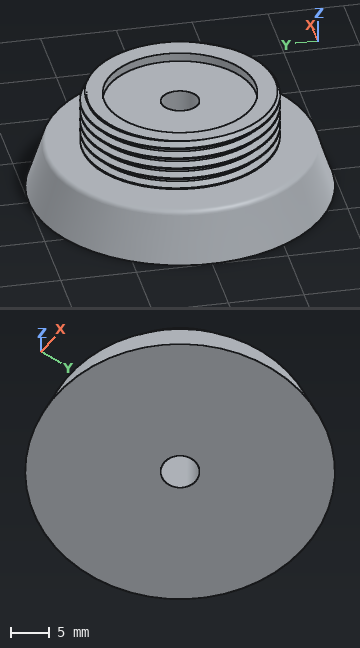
import cadquery as cq
import math

base_diameter = 40.0
base_height = 7.0
base_taper_angle = 18.0
base_edge_radius = 1.0

neck_height = 7.0
root_diameter = 24.13
crest_diameter = 25.85
thread_pitch = 1.5
flank_angle = 30.0
crest_flat = thread_pitch / 8
crest_above_base = 0.75 * thread_pitch
root_overlap = 0.2
turns_in_base = 2
turns_past_top = 1

pocket_diameter = 20.0
pocket_depth = 1.2
bore_diameter = 5.0

total_height = base_height + neck_height
base_radius = base_diameter / 2
root_radius = root_diameter / 2
crest_radius = crest_diameter / 2


def make_base():
    """Truncated cone, wide side down, with a rounded upper edge."""
    top_radius = base_radius - base_height * math.tan(math.radians(base_taper_angle))
    cone = cq.Workplane("XY").add(cq.Solid.makeCone(base_radius, top_radius, base_height))
    return cone.faces(">Z").edges().fillet(base_edge_radius)


def make_ridge():
    """Right-handed helical ridge that starts inside the base and runs past the top."""
    start_height = base_height + crest_above_base - turns_in_base * thread_pitch
    turns = math.ceil((total_height - start_height) / thread_pitch) + turns_past_top
    flank_slope = math.tan(math.radians(flank_angle))
    inner_radius = root_radius - root_overlap
    half_crest = crest_flat / 2
    half_root = half_crest + (crest_radius - inner_radius) * flank_slope

    helix = cq.Wire.makeHelix(thread_pitch, turns * thread_pitch, root_radius)
    path = cq.Workplane("XY").add(helix.translate(cq.Vector(0, 0, start_height)))
    profile = cq.Workplane("XZ").polyline([
        (inner_radius, start_height - half_root),
        (crest_radius, start_height - half_crest),
        (crest_radius, start_height + half_crest),
        (inner_radius, start_height + half_root),
    ]).close()
    return profile.sweep(path, isFrenet=True)


def make_neck():
    """Neck core with its ridge, trimmed flat at the top face; its lower turns lie inside the base."""
    core = cq.Workplane("XY").circle(root_radius).extrude(total_height)
    envelope = cq.Workplane("XY").circle(base_radius).extrude(total_height)
    return core.union(make_ridge().intersect(envelope))


def make_axial_cut(diameter, depth):
    """Round cut on the axis, going down from the top face."""
    floor_height = total_height - depth
    return cq.Workplane("XY").workplane(offset=floor_height).circle(diameter / 2).extrude(depth)


result = make_base().union(make_neck())
result = result.cut(make_axial_cut(pocket_diameter, pocket_depth))
result = result.cut(make_axial_cut(bore_diameter, total_height))